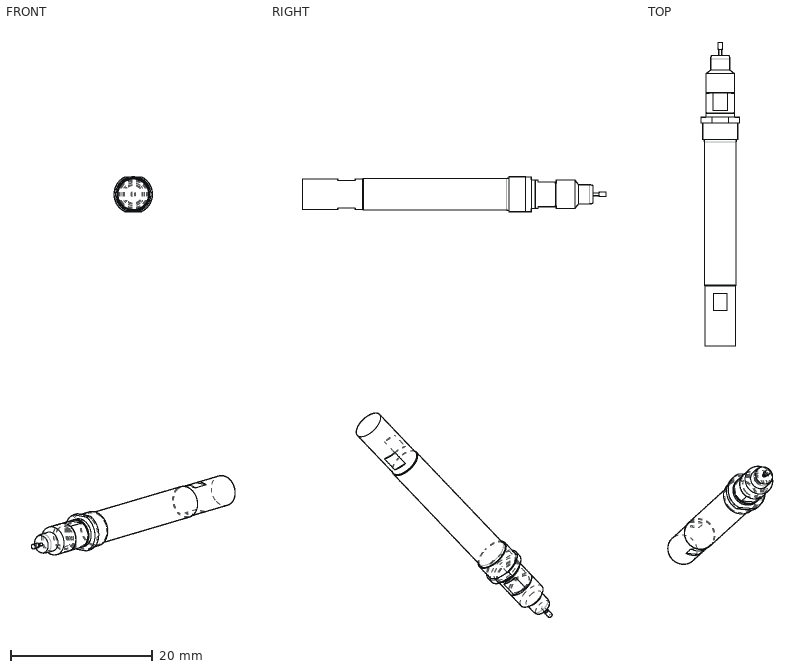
import cadquery as cq

total_length = 43.0

tip_length = 1.0
collar_start = 1.85
collar_lead_end = 2.35
shoulder_start = 3.9
shoulder_end = 4.45
head_groove_start = 7.1
neck_groove_start = 9.98
flange_start = 10.58
flange_end = 11.45
ring_end = 13.75
body_start = 14.1
body_end = 34.35
rear_start = 34.5

tip_diameter = 0.7
pin_diameter = 0.45
collar_diameter = 2.75
collar_end_diameter = 2.5
head_diameter = 4.1
flange_diameter = 5.45
ring_diameter = 5.0
ring_taper_diameter = 4.65
body_diameter = 4.5
rear_diameter = 4.35

groove_width = 0.1
head_groove_diameter = 3.2
neck_groove_diameter = 3.8

head_flat_start = head_groove_start + groove_width
head_flat_end = 9.65
head_flat_thickness = 3.53
rear_flat_start = 35.5
rear_flat_end = 37.95
rear_flat_thickness = 3.9
flange_flat_thickness = 4.95


def station(distance_from_tip):
    """Y position of a point given by its distance behind the tip."""
    return total_length - distance_from_tip


def corners(*steps):
    """Profile points from pairs of diameter and distance behind the tip."""
    return [(diameter / 2, station(distance)) for diameter, distance in steps]


def turned_shape():
    """Revolve the stepped half profile about the Y axis."""
    contact = corners(
        (tip_diameter, 0),
        (tip_diameter, tip_length),
        (pin_diameter, tip_length),
        (pin_diameter, collar_start),
        (collar_end_diameter, collar_start),
    )
    barrel = corners(
        (collar_diameter, collar_lead_end),
        (collar_diameter, shoulder_start),
        (head_diameter, shoulder_end),
        (head_diameter, flange_start),
        (flange_diameter, flange_start),
        (flange_diameter, flange_end),
        (ring_diameter, flange_end),
        (ring_diameter, ring_end),
        (ring_taper_diameter, ring_end),
        (body_diameter, body_start),
        (body_diameter, body_end),
        (rear_diameter, rear_start),
        (rear_diameter, total_length),
    )
    lead_length = collar_lead_end - collar_start
    lead_depth = (collar_diameter - collar_end_diameter) / 2
    lead_radius = (lead_length**2 + lead_depth**2) / (2 * lead_depth)

    axis_ends = corners((0, total_length), (0, 0))
    profile = (
        cq.Workplane("XY")
        .polyline(axis_ends + contact)
        .radiusArc(barrel[0], lead_radius)
        .polyline(barrel[1:], includeCurrent=True)
        .close()
    )
    return profile.revolve(360, (0, 0, 0), (0, 1, 0))


def ring_groove(start, width, floor_diameter):
    """Ring cutter that leaves a core of floor_diameter."""
    return (
        cq.Workplane("XZ", origin=(0, station(start), 0))
        .circle(flange_diameter)
        .circle(floor_diameter / 2)
        .extrude(width)
    )


def flat_pair(start, end, thickness):
    """Two blocks that mill parallel flats a given thickness apart."""
    length = end - start
    middle = station((start + end) / 2)
    block = cq.Workplane("XY").box(
        flange_diameter, length, flange_diameter, centered=(True, True, False)
    )
    upper = block.translate((0, middle, thickness / 2))
    return upper.union(upper.mirror("XY"))


result = turned_shape()
result = result.cut(ring_groove(head_groove_start, groove_width, head_groove_diameter))
result = result.cut(ring_groove(neck_groove_start, groove_width, neck_groove_diameter))
result = result.cut(flat_pair(head_flat_start, head_flat_end, head_flat_thickness))
result = result.cut(flat_pair(flange_start, flange_end, flange_flat_thickness))
result = result.cut(flat_pair(rear_flat_start, rear_flat_end, rear_flat_thickness))